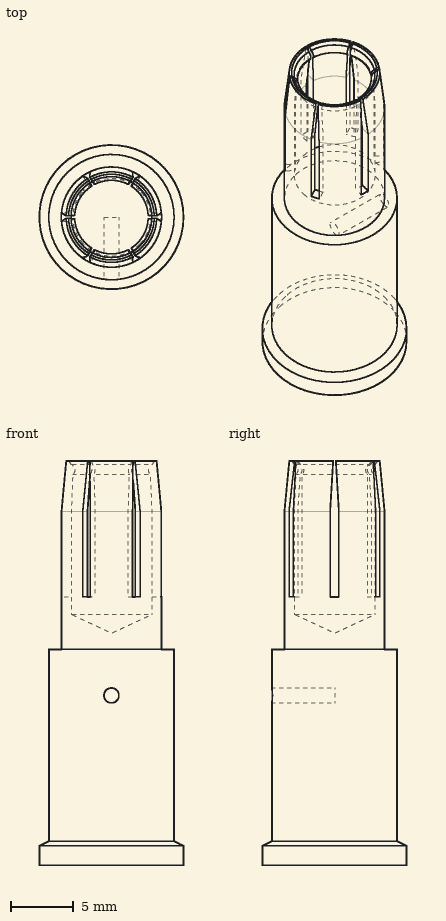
import cadquery as cq
import math

total_height = 32.2
flange_height = 1.55
flange_cone_top = 1.93
shoulder_height = 17.2
taper_start = 28.2
slot_floor = 21.38

flange_diameter = 11.5
flange_radius = flange_diameter / 2
body_radius = 5.0
sleeve_radius = 4.0
tip_radius = 3.6

bore_radius = 3.22
mouth_radius = 3.4
lip_start_radius = 3.22
lip_end_radius = 3.1
lip_radius = 2.93
lip_start_depth = 0.3
lip_end_depth = 1.05
lip_mid_depth = (lip_start_depth + lip_end_depth) / 2
bore_floor = 20.0
drill_point_angle = 130.0
drill_point_depth = bore_radius / math.tan(math.radians(drill_point_angle / 2))

slot_count = 6
slot_width = 0.68
slot_tip_width = 0.2

side_hole_diameter = 1.2
side_hole_height = 13.52


def revolved_body():
    """Stepped pin with its collar, tapered sleeve and blind socket."""
    profile = (
        cq.Workplane("XZ")
        .moveTo(0, 0)
        .lineTo(flange_radius, 0)
        .lineTo(flange_radius, flange_height)
        .lineTo(body_radius, flange_cone_top)
        .lineTo(body_radius, shoulder_height)
        .lineTo(sleeve_radius, shoulder_height)
        .lineTo(sleeve_radius, taper_start)
        .lineTo(tip_radius, total_height)
        .lineTo(mouth_radius, total_height)
        .lineTo(lip_start_radius, total_height - lip_start_depth)
        .threePointArc(
            (lip_radius, total_height - lip_mid_depth),
            (lip_end_radius, total_height - lip_end_depth),
        )
        .lineTo(bore_radius, taper_start)
        .lineTo(bore_radius, bore_floor)
        .lineTo(0, bore_floor - drill_point_depth)
        .close()
    )
    return profile.revolve(360, (0, 0, 0), (0, 1, 0))


def finger_slot():
    """Slot through the +X wall, narrowing along the tapered tip."""
    return (
        cq.Workplane("YZ")
        .moveTo(-slot_width / 2, slot_floor)
        .lineTo(slot_width / 2, slot_floor)
        .lineTo(slot_width / 2, taper_start)
        .lineTo(slot_tip_width / 2, total_height)
        .lineTo(-slot_tip_width / 2, total_height)
        .lineTo(-slot_width / 2, taper_start)
        .close()
        .extrude(flange_radius)
    )


def side_hole():
    """Radial hole from the -Y side to the axis."""
    return (
        cq.Workplane("XZ")
        .center(0, side_hole_height)
        .circle(side_hole_diameter / 2)
        .extrude(flange_radius)
    )


result = revolved_body()
for index in range(slot_count):
    slot = finger_slot().rotate((0, 0, 0), (0, 0, 1), index * 360 / slot_count)
    result = result.cut(slot)
result = result.cut(side_hole())